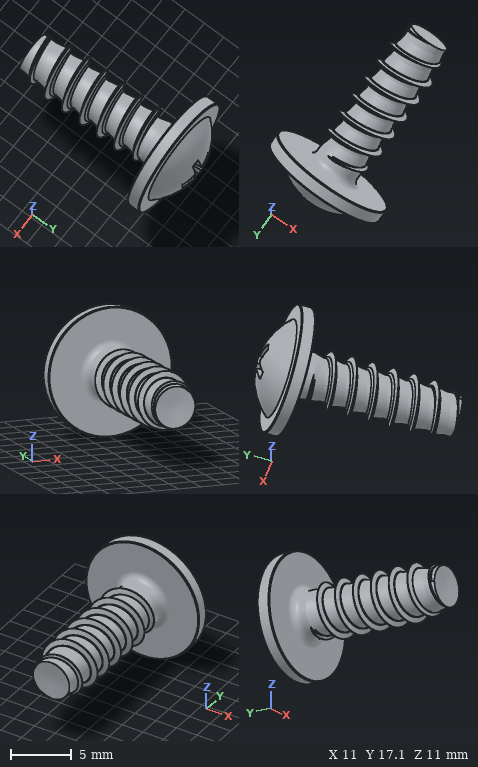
import cadquery as cq
import math


flange_radius = 5.5
flange_thickness = 1.2
flange_edge_chamfer = 0.08
flange_middle = -flange_thickness / 2
dome_base_radius = 4.2
dome_apex_height = 3.165

recess_slot_width = 0.78
recess_draft = 6
recess_wing_radius = 1.8
recess_bottom_radius = 0.5
recess_rim_height = 2.87
recess_depth = 1.8

length = 14.0
shank_radius = 2.02
underhead_fillet = 0.7
collar_length = 1.25
neck_end = 2.1
core_radius = 1.78
tip_dimple_radius = 1.68
tip_dimple_depth = 0.15

thread_radius = 2.5
pitch = 1.8
crest_half_width = 0.02
flank_knee_radius = 2.0
flank_knee_half_width = 0.18
flank_foot_half_width = 0.48
root_radius = 1.6
root_overlap = 0.02
first_crest = 0.04
lead_in_turns = 1.5
full_turns = 4.75
lead_out_turns = 1.5
lead_in_radius = 1.9
lead_out_radius = 1.79

slope_top_radius = 1.96
slope_top_offset = 0.22
slope_end_offset = 1.13
slope_foot_offset = 0.1
slope_section_turns = 0.75
slope_full_sections = 9
slope_tip_drop = 0.15

trim_clearance = 0.3
tip_trim_start = 13.0
tip_trim_knee = 13.5


def revolve_profile(profile):
    """Turns a half profile, drawn as (radius, axial position) on the XZ plane, about the Z axis."""
    return profile.close().revolve(360, (0, 0), (0, 1))


def revolve_points(points):
    return revolve_profile(cq.Workplane("XZ").polyline(points))


def helix_edge(radius, radius_change, start_height, turns, start_angle):
    """Right-handed helix whose radius changes evenly by radius_change over its length."""
    height = turns * pitch
    if radius_change == 0:
        wire = cq.Wire.makeHelix(pitch, height, radius)
    else:
        cone_angle = math.atan2(radius_change, height)
        slant = 1 / math.cos(cone_angle)
        wire = cq.Wire.makeHelix(pitch * slant, height * slant, radius, angle=math.degrees(cone_angle))
    placed = wire.rotate(cq.Vector(0, 0, 0), cq.Vector(0, 0, 1), start_angle)
    return placed.translate(cq.Vector(0, 0, start_height)).Edges()[0]


def end_cap(profile, radius_shift, height, angle):
    """Flat face closing a helical body in a plane through the axis."""
    corners = [cq.Vector(radius + radius_shift, 0, height + offset) for radius, offset in profile]
    face = cq.Face.makeFromWires(cq.Wire.makePolygon(corners, close=True))
    return face.rotate(cq.Vector(0, 0, 0), cq.Vector(0, 0, 1), angle)


def helical_solid(profile, start_height, sections):
    """Winds a (radius, axial offset) profile through sections of (turns, first shift, last shift)."""
    faces = []
    height = start_height
    angle = 0
    faces.append(end_cap(profile, sections[0][1], height, angle))
    for turns, first_shift, last_shift in sections:
        edges = []
        for radius, offset in profile:
            edge = helix_edge(radius + first_shift, last_shift - first_shift, height + offset, turns, angle)
            edges.append(edge)
        for index, edge in enumerate(edges):
            faces.append(cq.Face.makeRuledSurface(edges[index - 1], edge))
        height += turns * pitch
        angle += turns * 360
    faces.append(end_cap(profile, sections[-1][2], height, angle))
    return cq.Solid.makeSolid(cq.Shell.makeShell(faces))


def make_head():
    """Flange with broken edges under a spherical dome."""
    flange = cq.Workplane("XY").circle(flange_radius).extrude(-flange_thickness)
    flange = flange.edges().chamfer(flange_edge_chamfer)
    dome_rise = dome_apex_height - flange_thickness
    sphere_radius = (dome_base_radius**2 + dome_rise**2) / (2 * dome_rise)
    mid_angle = math.asin(dome_base_radius / sphere_radius) / 2
    mid_radius = sphere_radius * math.sin(mid_angle)
    mid_height = dome_apex_height - sphere_radius * (1 - math.cos(mid_angle))
    dome = revolve_profile(
        cq.Workplane("XZ")
        .moveTo(0, flange_middle)
        .lineTo(0, -dome_apex_height)
        .threePointArc((mid_radius, -mid_height), (dome_base_radius, -flange_thickness))
        .lineTo(dome_base_radius, flange_middle)
    )
    return flange.union(dome)


def make_recess():
    """Cross of two drafted slots whose wings shorten toward the bottom."""
    bottom = recess_depth - dome_apex_height
    taper = revolve_points(
        [
            (0, -dome_apex_height),
            (recess_wing_radius, -dome_apex_height),
            (recess_wing_radius, -recess_rim_height),
            (recess_bottom_radius, bottom),
            (0, bottom),
        ]
    )
    slot_length = 2 * flange_radius
    slot = (
        cq.Workplane("XY", origin=(0, 0, -dome_apex_height))
        .rect(slot_length, recess_slot_width)
        .extrude(recess_depth, taper=recess_draft)
    )
    cross = slot.union(slot.rotate((0, 0, 0), (0, 0, 1), 90))
    return cross.intersect(taper)


def make_shank():
    """Collar with a fillet under the head, a conical neck and the thread core."""
    fillet_middle = underhead_fillet * (1 - math.sqrt(0.5))
    return revolve_profile(
        cq.Workplane("XZ")
        .moveTo(0, flange_middle)
        .lineTo(shank_radius + underhead_fillet, flange_middle)
        .lineTo(shank_radius + underhead_fillet, 0)
        .threePointArc((shank_radius + fillet_middle, fillet_middle), (shank_radius, underhead_fillet))
        .lineTo(shank_radius, collar_length)
        .lineTo(core_radius, neck_end)
        .lineTo(core_radius, length)
        .lineTo(0, length)
    )


def make_thread():
    """Sharp thread that rises out of the neck and sinks back into the core at the tip."""
    profile = [
        (root_radius, -flank_foot_half_width),
        (flank_knee_radius, -flank_knee_half_width),
        (thread_radius, -crest_half_width),
        (thread_radius, crest_half_width),
        (flank_knee_radius, flank_knee_half_width),
        (root_radius, flank_foot_half_width),
    ]
    sections = [
        (lead_in_turns, lead_in_radius - thread_radius, 0),
        (full_turns, 0, 0),
        (lead_out_turns, 0, lead_out_radius - thread_radius),
    ]
    return helical_solid(profile, first_crest, sections)


def make_sloped_root():
    """Ridge under the thread whose tip side falls gently back to the core."""
    slope_per_length = (slope_top_radius - core_radius) / (slope_end_offset - slope_top_offset)
    buried_offset = slope_end_offset + root_overlap / slope_per_length
    profile = [
        (root_radius, -slope_foot_offset),
        (slope_top_radius, slope_top_offset),
        (core_radius - root_overlap, buried_offset),
        (root_radius, buried_offset),
    ]
    sections = [(slope_section_turns, 0, 0)] * slope_full_sections
    sections.append((slope_section_turns, 0, -slope_tip_drop))
    return helical_solid(profile, first_crest, sections)


def make_trim():
    """Body of revolution that the thread and its sloped root must stay inside."""
    outer_radius = thread_radius + trim_clearance
    return revolve_points(
        [
            (0, collar_length),
            (outer_radius, collar_length),
            (outer_radius, tip_trim_start),
            (slope_top_radius, tip_trim_knee),
            (core_radius, length),
            (0, length),
        ]
    )


def make_tip_dimple():
    """Shallow cone sunk into the end face."""
    return revolve_points([(0, length), (tip_dimple_radius, length), (0, length - tip_dimple_depth)])


trim = make_trim()
screw = make_head().cut(make_recess()).union(make_shank())
for winding in (make_sloped_root(), make_thread()):
    screw = screw.union(cq.Workplane(obj=winding).intersect(trim))
screw = screw.cut(make_tip_dimple())
result = screw.rotate((0, 0, 0), (1, 0, 0), 90)